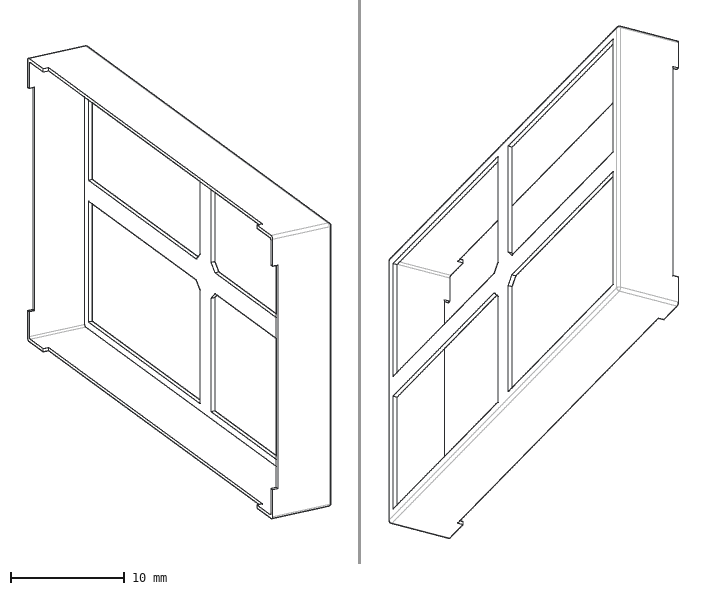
import cadquery as cq

length = 44.9
depth = 5.95
height = 27.2

wall = 0.3
floor_thickness = 0.4
edge_radius = 0.25
inner_radius = 0.2

border = 1.0
bar_width = 2.0
cross_chamfer = 0.7

foot_length = 2.85
foot_height = 0.55


def make_tray():
    """Rounded box hollowed from the -Y side."""
    outer = (
        cq.Workplane("XY")
        .box(length, depth, height)
        .edges("|Y or >Y")
        .fillet(edge_radius)
    )
    cavity = (
        cq.Workplane("XY")
        .box(length - 2 * wall, depth, height - 2 * wall)
        .edges("|Y")
        .fillet(inner_radius)
        .translate((0, -floor_thickness, 0))
    )
    return outer.cut(cavity)


def make_window(side_x, side_z):
    """Through window in one quadrant, chamfered at the centre of the cross."""
    inner = bar_width / 2
    far_x = length / 2 - border
    far_z = height / 2 - border
    corners = [
        (inner + cross_chamfer, inner),
        (far_x, inner),
        (far_x, far_z),
        (inner, far_z),
        (inner, inner + cross_chamfer),
    ]
    points = [(side_x * x, side_z * z) for x, z in corners]
    return cq.Workplane("XZ").polyline(points).close().extrude(depth, both=True)


def make_rim_cutouts():
    """Shallow cutouts across the mouth on all four walls, between the feet."""
    rim_y = -depth / 2 + foot_height / 2
    across_x = cq.Workplane("XY").box(length, foot_height, height - 2 * foot_length)
    across_z = cq.Workplane("XY").box(length - 2 * foot_length, foot_height, height)
    return across_x.union(across_z).translate((0, rim_y, 0))


result = make_tray().cut(make_rim_cutouts())
for side_x in (-1, 1):
    for side_z in (-1, 1):
        result = result.cut(make_window(side_x, side_z))